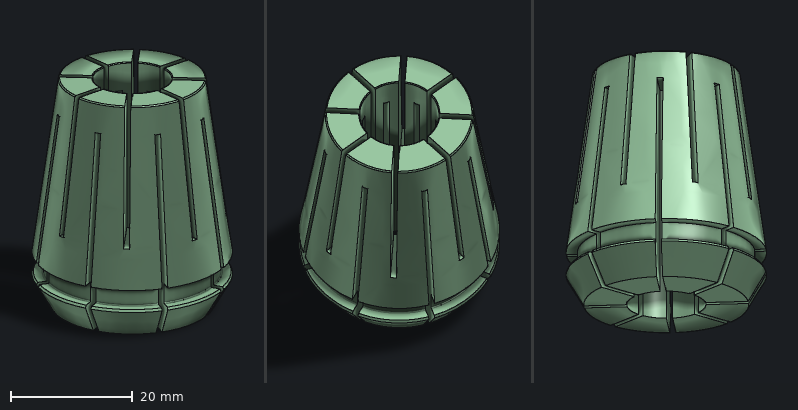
import cadquery as cq
import math

height = 40.0
outer_radius = 16.5
bore_diameter = 13.0
bore_radius = bore_diameter / 2

taper_angle = 8.0
taper_bottom_z = 9.05
top_radius = outer_radius - (height - taper_bottom_z) * math.tan(math.radians(taper_angle))
top_edge_chamfer = 0.2
bore_edge_chamfer = 0.15

groove_radius = 14.6
groove_corner_radius = 0.2
flange_top_z = 5.55
flange_rim_z = 5.1
flange_rim_chamfer = 0.25
flange_angle = 30.0
bottom_radius = outer_radius - flange_rim_z * math.tan(math.radians(flange_angle))

slots_per_end = 8
slot_pitch = 360.0 / slots_per_end
slot_width = 1.0
lower_slot_end_z = 35.0
upper_slot_floor_z = 16.0
slot_overrun = 0.4


def make_body():
    """Revolve the bored collet profile about Z and chamfer both edges of its top face."""
    corner_offset = groove_corner_radius * (1 - math.sqrt(0.5))
    profile = (
        cq.Workplane("XZ")
        .moveTo(bore_radius, 0)
        .lineTo(bottom_radius, 0)
        .lineTo(outer_radius, flange_rim_z)
        .lineTo(outer_radius - flange_rim_chamfer, flange_top_z)
        .lineTo(groove_radius + groove_corner_radius, flange_top_z)
        .threePointArc(
            (groove_radius + corner_offset, flange_top_z + corner_offset),
            (groove_radius, flange_top_z + groove_corner_radius),
        )
        .lineTo(groove_radius, taper_bottom_z)
        .lineTo(outer_radius, taper_bottom_z)
        .lineTo(top_radius, height)
        .lineTo(bore_radius, height)
        .close()
    )
    body = profile.revolve(360, (0, 0), (0, 1))
    top_edges = body.faces(">Z").edges()
    body = top_edges.edges(cq.selectors.RadiusNthSelector(-1)).chamfer(top_edge_chamfer)
    top_edges = body.faces(">Z").edges()
    return top_edges.edges(cq.selectors.RadiusNthSelector(0)).chamfer(bore_edge_chamfer)


def make_slots(start_z, end_z, first_angle):
    """Build radial slot cutters, each reaching from the axis past the outer surface."""
    blade = (
        cq.Workplane("XY", origin=(0, 0, start_z))
        .rect(outer_radius + slot_overrun, slot_width)
        .extrude(end_z - start_z)
        .translate(((outer_radius + slot_overrun) / 2, 0, 0))
    )
    slots = cq.Workplane("XY")
    for index in range(slots_per_end):
        angle = first_angle + index * slot_pitch
        slots = slots.add(blade.rotate((0, 0, 0), (0, 0, 1), angle))
    return slots.combine()


lower_slots = make_slots(-slot_overrun, lower_slot_end_z, 0)
upper_slots = make_slots(upper_slot_floor_z, height + slot_overrun, slot_pitch / 2)

result = make_body().cut(lower_slots).cut(upper_slots)